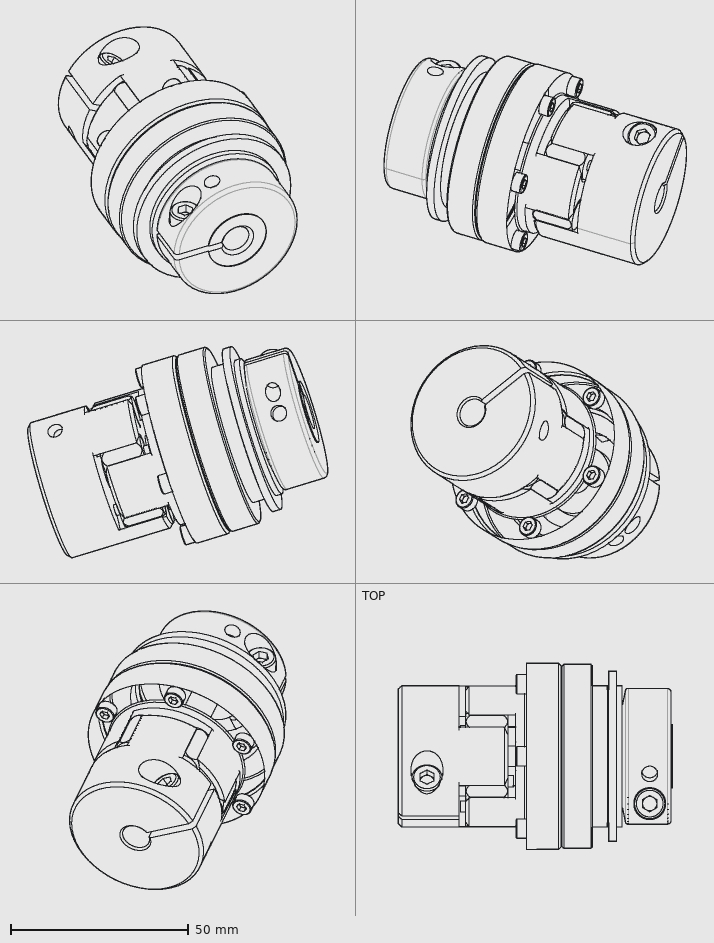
import cadquery as cq
import math


OVERLAP = 0.1
CUT_MARGIN = 1.0

BORE_D = 8.0
BORE_CHAMFER = 0.6
CLAMP_BORE_CHAMFER = 1.0
RECESS_D = 20.0
RECESS_END = 65.7

HUB_R = 19.95
HUB_CHAMFER = 1.0
HUB_BODY_END = 17.1
SPIDER_START = 19.0
SPIDER_END = 30.95
RIGHT_ROOT = 33.1
JAW_COUNT = 3
JAW_PITCH = 360 / JAW_COUNT
JAW_TIP_R = 11.65

LOBE_COUNT = 2 * JAW_COUNT
LOBE_PITCH = 360 / LOBE_COUNT
LOBE_CENTRE_R = 15.2
LOBE_OUTER_R = 19.6
SOCKET_R = 5.05
LOBE_GAP = 0.3
LOBE_CHAMFER = 0.4
LOBE_CHAMFER_LENGTH = 1.2
SPIDER_BORE_D = 14.0
PIN_D = 3.2
PIN_CENTRE_R = 14.1
PIN_LENGTH = 1.5

FLANGE_START = 36.1
FLANGE_END = 45.9
FLANGE_D = 52.5
FLANGE_R = FLANGE_D / 2
FLANGE_CHAMFER = 0.7
COLLAR_R = 20.4
COLLAR_LENGTH = 0.5
GAP_GROOVE_R = 25.5
RING_START = 46.2
RING_END = 54.7
RING_R = 26.0
RING_CHAMFER = 0.45
NECK_R = HUB_R
NECK_END = 58.9
NECK_GROOVE_R = 18.8
DISC_START = 59.25
DISC_END = 61.5
DISC_R = 24.0
SHOULDER_END = 63.1

SCREW_COUNT = 6
SCREW_HEAD_D = 5.5
SCREW_HEAD_HEIGHT = 3.0
SCREW_HEAD_CHAMFER = 0.25
SCREW_CIRCLE_R = FLANGE_R - SCREW_HEAD_D / 2
SCREW_HEX = 2.5
SCREW_HEX_DEPTH = 1.5

CLAMP_R = 19.15
CLAMP_CONE_R = 14.3
CLAMP_CONE_END = 64.0
CLAMP_CONE_END_R = 18.6
CLAMP_EDGE = 64.9
CLAMP_END = 76.9
CLAMP_FILLET = 1.1
BOSS_D = 18.0
TOTAL_LENGTH = 77.2

SLIT_WIDTH = 2.0
LEFT_SCREW_R = 13.1
RIGHT_SCREW_R = 13.3
CLAMP_SCREW_D = 5.0
CLAMP_THREAD_D = 4.2
CLAMP_CLEARANCE_D = 5.5
CLAMP_SHANK_REACH = 4.0
CLAMP_HEAD_D = 8.5
CLAMP_HEAD_CHAMFER = 0.5
CLAMP_HEAD_HEIGHT = 5.0
CLAMP_HEAD_TOP = 11.0
COUNTERBORE_D = 9.0
CLAMP_HEX = 4.0
CLAMP_HEX_DEPTH = 2.5
LEFT_SCREW_X = 8.1
RIGHT_SCREW_X = 70.85
LEFT_SLIT_ANGLE = 60
RIGHT_SLIT_ANGLE = 90

RADIAL_HOLE_D = 4.5
RADIAL_HOLE_FLOOR_R = 14.9
RADIAL_HOLE_ANGLES = (15, 155)

DRILL_TIP_ANGLE = 118
HEX_SIDES = 6


def turned(points):
    """Solid of revolution about X from (x, radius) points."""
    return cq.Workplane("XY").polyline(points).close().revolve(360, (0, 0, 0), (1, 0, 0))


def rod(diameter, start, end, z=0.0):
    """Cylinder along X."""
    plane = cq.Workplane("YZ", origin=(start, 0, z))
    return plane.circle(diameter / 2).extrude(end - start)


def upright(diameter, x, y, bottom, top):
    """Cylinder along Z."""
    return cq.Workplane("XY", origin=(x, y, bottom)).circle(diameter / 2).extrude(top - bottom)


def spin(body, angle):
    """Turn a body about the shaft axis."""
    return body.rotate((0, 0, 0), (1, 0, 0), angle)


def drill_tip(diameter):
    """Cone pointing down from the XY plane."""
    height = diameter / 2 / math.tan(math.radians(DRILL_TIP_ANGLE / 2))
    outline = cq.Workplane("XZ").polyline([(0, 0), (diameter / 2, 0), (0, -height)]).close()
    return outline.revolve(360, (0, 0, 0), (0, 1, 0))


def socket_screw_head(diameter, height, chamfer, hex_size, hex_depth):
    """Cap screw head with its top at Z = 0 and a hexagon socket with corners toward +Y and -Y."""
    head = cq.Workplane("XY").circle(diameter / 2).extrude(-height).faces(">Z").chamfer(chamfer)
    across_corners = hex_size / math.cos(math.pi / HEX_SIDES)
    socket = cq.Workplane("XY").polygon(HEX_SIDES, across_corners).extrude(-hex_depth)
    socket = socket.rotate((0, 0, 0), (0, 0, 1), 180 / HEX_SIDES)
    return head.cut(socket).cut(drill_tip(hex_size).translate((0, 0, -hex_depth)))


def jaw_gaps(low, high):
    """Space around three jaws, one of them at +Z: the core inside them and the sectors between them."""
    outer = HUB_R + CUT_MARGIN
    half_width = outer * math.tan(math.radians(LOBE_PITCH / 2))
    jaw = cq.Workplane("YZ", origin=(low, 0, 0))
    jaw = jaw.polyline([(0, 0), (half_width, outer), (-half_width, outer)]).close().extrude(high - low)
    jaw = jaw.cut(rod(2 * JAW_TIP_R, low, high))
    socket = rod(2 * SOCKET_R, low, high, z=LOBE_CENTRE_R)
    for side in (-1, 1):
        jaw = jaw.cut(spin(socket, side * LOBE_PITCH / 2))
    gaps = rod(2 * outer, low, high)
    for index in range(JAW_COUNT):
        gaps = gaps.cut(spin(jaw, index * JAW_PITCH))
    return gaps


def left_hub():
    shoulder_r = HUB_R - HUB_CHAMFER
    body = turned([
        (0, 0),
        (0, shoulder_r),
        (HUB_CHAMFER, HUB_R),
        (SPIDER_END - HUB_CHAMFER, HUB_R),
        (SPIDER_END, shoulder_r),
        (SPIDER_END, 0),
    ])
    return body.cut(jaw_gaps(HUB_BODY_END, SPIDER_END))


def spider():
    """Elastomer star: core ring, six rounded lobes and spacer pins on alternate ends of the lobes."""
    core = rod(2 * JAW_TIP_R, SPIDER_START, SPIDER_END)
    lobe_r = SOCKET_R - LOBE_GAP
    lobe = turned([
        (SPIDER_START, 0),
        (SPIDER_START, lobe_r - LOBE_CHAMFER),
        (SPIDER_START + LOBE_CHAMFER_LENGTH, lobe_r),
        (SPIDER_END - LOBE_CHAMFER_LENGTH, lobe_r),
        (SPIDER_END, lobe_r - LOBE_CHAMFER),
        (SPIDER_END, 0),
    ])
    lobe = lobe.translate((0, 0, LOBE_CENTRE_R))
    lobe = lobe.intersect(rod(2 * LOBE_OUTER_R, SPIDER_START, SPIDER_END))
    mid = (SPIDER_START + SPIDER_END) / 2
    right_pin = rod(PIN_D, mid, SPIDER_END + PIN_LENGTH, z=PIN_CENTRE_R)
    left_pin = rod(PIN_D, SPIDER_START - PIN_LENGTH, mid, z=PIN_CENTRE_R)
    for index in range(LOBE_COUNT):
        pin = left_pin if index % 2 else right_pin
        core = core.union(spin(lobe.union(pin), (index + 0.5) * LOBE_PITCH))
    return core.cut(rod(SPIDER_BORE_D, SPIDER_START, SPIDER_END))


def limiter_body():
    """Right jaw hub, flange, ring, neck and disc."""
    body = turned([
        (SPIDER_START, 0),
        (SPIDER_START, HUB_R - HUB_CHAMFER),
        (SPIDER_START + HUB_CHAMFER, HUB_R),
        (FLANGE_START - COLLAR_LENGTH, HUB_R),
        (FLANGE_START, COLLAR_R),
        (FLANGE_START, FLANGE_R),
        (FLANGE_END - FLANGE_CHAMFER, FLANGE_R),
        (FLANGE_END, FLANGE_R - FLANGE_CHAMFER),
        (FLANGE_END, GAP_GROOVE_R),
        (RING_START, GAP_GROOVE_R),
        (RING_START + RING_CHAMFER, RING_R),
        (RING_END - RING_CHAMFER, RING_R),
        (RING_END, RING_R - RING_CHAMFER),
        (RING_END, NECK_R),
        (NECK_END, NECK_R),
        (NECK_END, NECK_GROOVE_R),
        (DISC_START, NECK_GROOVE_R),
        (DISC_START, DISC_R),
        (DISC_END, DISC_R),
        (DISC_END, NECK_R),
        (SHOULDER_END, NECK_R),
        (SHOULDER_END, 0),
    ])
    return body.cut(spin(jaw_gaps(SPIDER_START, RIGHT_ROOT), JAW_PITCH / 2))


def right_clamp():
    """Coned and rounded clamping hub with a flat boss on its end."""
    fillet_mid = CLAMP_FILLET * math.sqrt(0.5)
    outline = cq.Workplane("XY").moveTo(SHOULDER_END - OVERLAP, 0)
    outline = outline.lineTo(SHOULDER_END - OVERLAP, CLAMP_CONE_R).lineTo(SHOULDER_END, CLAMP_CONE_R)
    outline = outline.lineTo(CLAMP_CONE_END, CLAMP_CONE_END_R)
    outline = outline.tangentArcPoint((CLAMP_EDGE, CLAMP_R), relative=False)
    outline = outline.lineTo(CLAMP_END - CLAMP_FILLET, CLAMP_R)
    outline = outline.threePointArc(
        (CLAMP_END - CLAMP_FILLET + fillet_mid, CLAMP_R - CLAMP_FILLET + fillet_mid),
        (CLAMP_END, CLAMP_R - CLAMP_FILLET),
    )
    outline = outline.lineTo(CLAMP_END, 0).close()
    body = outline.revolve(360, (0, 0, 0), (1, 0, 0))
    return body.union(rod(BOSS_D, CLAMP_END - OVERLAP, TOTAL_LENGTH))


def flange_screws():
    head = socket_screw_head(SCREW_HEAD_D, SCREW_HEAD_HEIGHT, SCREW_HEAD_CHAMFER, SCREW_HEX, SCREW_HEX_DEPTH)
    head = head.rotate((0, 0, 0), (0, 1, 0), -90)
    head = head.translate((FLANGE_START + OVERLAP - SCREW_HEAD_HEIGHT, 0, 0))
    screws = cq.Workplane("XY")
    for index in range(SCREW_COUNT):
        angle = math.radians(index * 360 / SCREW_COUNT)
        place = (0, SCREW_CIRCLE_R * math.sin(angle), SCREW_CIRCLE_R * math.cos(angle))
        screws = screws.add(head.translate(place))
    return screws.combine()


def clamp_cut(screw_x, screw_r, start, end, slit_angle):
    """Slit from the shaft axis outward plus the stepped hole of the screw that crosses it."""
    reach = HUB_R + CUT_MARGIN
    slit = cq.Workplane("XY").box(end - start, reach, SLIT_WIDTH)
    slit = slit.translate(((start + end) / 2, -reach / 2, 0))
    counterbore = upright(COUNTERBORE_D, screw_x, -screw_r, CLAMP_HEAD_TOP - CLAMP_HEAD_HEIGHT, reach)
    clearance = upright(CLAMP_CLEARANCE_D, screw_x, -screw_r, 0, reach)
    thread = upright(CLAMP_THREAD_D, screw_x, -screw_r, -reach, 0)
    cut = slit.union(counterbore).union(clearance).union(thread)
    return spin(cut, slit_angle - RIGHT_SLIT_ANGLE)


def clamp_screw(screw_x, screw_r, slit_angle):
    """Cap screw whose shank crosses the slit and ends in the threaded side."""
    head = socket_screw_head(
        CLAMP_HEAD_D, CLAMP_HEAD_HEIGHT, CLAMP_HEAD_CHAMFER, CLAMP_HEX, CLAMP_HEX_DEPTH)
    head = head.translate((screw_x, -screw_r, CLAMP_HEAD_TOP))
    shank = upright(
        CLAMP_SCREW_D, screw_x, -screw_r, -CLAMP_SHANK_REACH, CLAMP_HEAD_TOP - CLAMP_HEAD_HEIGHT)
    return spin(head.union(shank), slit_angle - RIGHT_SLIT_ANGLE)


def radial_holes():
    hole = upright(RADIAL_HOLE_D, RIGHT_SCREW_X, 0, RADIAL_HOLE_FLOOR_R, CLAMP_R + CUT_MARGIN)
    hole = hole.union(drill_tip(RADIAL_HOLE_D).translate((RIGHT_SCREW_X, 0, RADIAL_HOLE_FLOOR_R)))
    first_angle, second_angle = RADIAL_HOLE_ANGLES
    return spin(hole, first_angle).union(spin(hole, second_angle))


def shaft_bore():
    radius = BORE_D / 2
    clamp_mouth = radius + CLAMP_BORE_CHAMFER
    return turned([
        (0, 0),
        (0, radius + BORE_CHAMFER),
        (BORE_CHAMFER, radius),
        (SHOULDER_END, radius),
        (SHOULDER_END, RECESS_D / 2),
        (RECESS_END, RECESS_D / 2),
        (RECESS_END, clamp_mouth),
        (RECESS_END + CLAMP_BORE_CHAMFER, radius),
        (TOTAL_LENGTH - CLAMP_BORE_CHAMFER, radius),
        (TOTAL_LENGTH, clamp_mouth),
        (TOTAL_LENGTH, 0),
    ])


left_clamp_cut = clamp_cut(LEFT_SCREW_X, LEFT_SCREW_R, 0, HUB_BODY_END, LEFT_SLIT_ANGLE)
result = left_hub().cut(left_clamp_cut)
right_clamp_cut = clamp_cut(RIGHT_SCREW_X, RIGHT_SCREW_R, SHOULDER_END, TOTAL_LENGTH, RIGHT_SLIT_ANGLE)
clamp = right_clamp().cut(right_clamp_cut).cut(radial_holes())
result = result.union(limiter_body()).union(clamp).union(flange_screws())
result = result.cut(shaft_bore())
result = result.union(spider())
result = result.union(clamp_screw(LEFT_SCREW_X, LEFT_SCREW_R, LEFT_SLIT_ANGLE))
result = result.union(clamp_screw(RIGHT_SCREW_X, RIGHT_SCREW_R, RIGHT_SLIT_ANGLE))